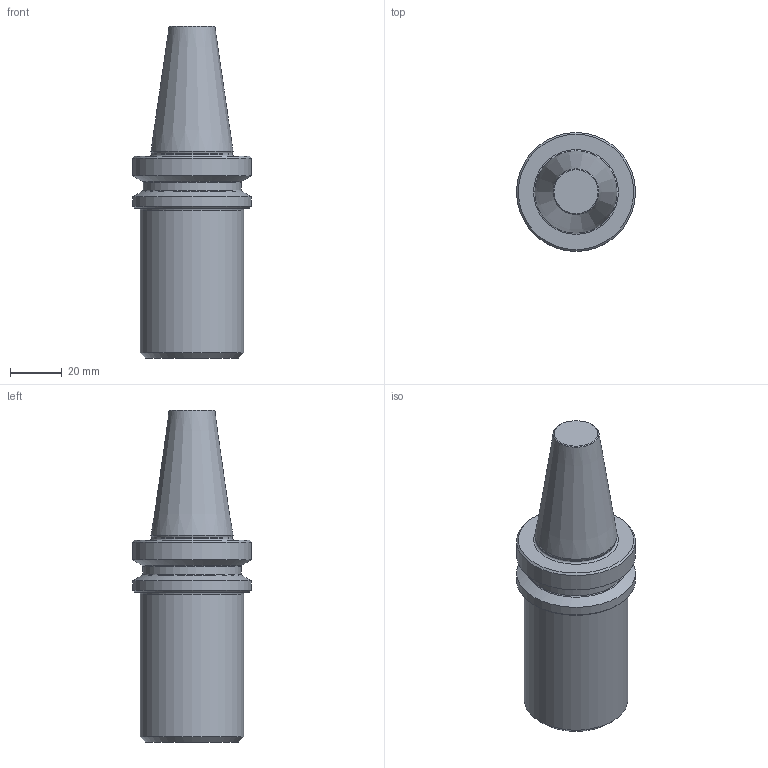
import cadquery as cq
import math

gauge_radius = 31.75 / 2
taper_length = 48.4
taper_ratio = 7 / 24
tip_radius = gauge_radius - taper_length * taper_ratio / 2
tip_chamfer = 0.3

neck_radius = 15.6
neck_undercut_height = 0.9
neck_fillet = 0.8

flange_radius = 46 / 2
flange_top = -2.0
flange_bottom = -22.0
flange_chamfer = 0.7
groove_center = -13.6
groove_mouth_width = 8.2
groove_floor_radius = 19.0
groove_fillet = 0.5
groove_half_angle = math.radians(30)
groove_depth = flange_radius - groove_floor_radius
groove_floor_width = groove_mouth_width - 2 * groove_depth * math.tan(groove_half_angle)

body_radius = 20.0
body_bottom = -80.0
body_chamfer = 2.0
body_fillet = 0.8


def revolve_profile(profile):
    """Close a half profile in the XZ plane and revolve it about the Z axis."""
    return profile.close().revolve(360, (0, 0, 0), (0, 1, 0))


def make_taper_and_neck():
    """Edge-broken cone above the gauge plane, undercut neck with a fillet at the flange face."""
    fillet_top = flange_top + neck_fillet
    fillet_mid_offset = neck_fillet * (1 - math.sqrt(0.5))
    profile = (
        cq.Workplane("XZ")
        .moveTo(0, taper_length)
        .lineTo(tip_radius, taper_length)
        .lineTo(gauge_radius, 0)
        .lineTo(neck_radius, -neck_undercut_height)
        .lineTo(neck_radius, fillet_top)
        .threePointArc(
            (neck_radius + fillet_mid_offset, flange_top + fillet_mid_offset),
            (neck_radius + neck_fillet, flange_top),
        )
        .lineTo(0, flange_top)
    )
    return revolve_profile(profile).faces(">Z").edges().chamfer(tip_chamfer)


def make_flange():
    """Chamfered disc with the gripper groove turned into its rim."""
    disc = (
        cq.Workplane("XY", origin=(0, 0, flange_bottom))
        .circle(flange_radius)
        .extrude(flange_top - flange_bottom)
        .edges("%CIRCLE")
        .chamfer(flange_chamfer)
    )
    groove = revolve_profile(
        cq.Workplane("XZ")
        .moveTo(flange_radius, groove_center + groove_mouth_width / 2)
        .lineTo(groove_floor_radius, groove_center + groove_floor_width / 2)
        .lineTo(groove_floor_radius, groove_center - groove_floor_width / 2)
        .lineTo(flange_radius, groove_center - groove_mouth_width / 2)
    )
    floor_corners = cq.selectors.RadiusNthSelector(0)
    groove = groove.edges(floor_corners).fillet(groove_fillet)
    return disc.cut(groove)


def make_body():
    """Cylinder filleted into the flange and chamfered at its lower end."""
    fillet_mid_offset = body_fillet * (1 - math.sqrt(0.5))
    profile = (
        cq.Workplane("XZ")
        .moveTo(0, flange_bottom)
        .lineTo(body_radius + body_fillet, flange_bottom)
        .threePointArc(
            (body_radius + fillet_mid_offset, flange_bottom - fillet_mid_offset),
            (body_radius, flange_bottom - body_fillet),
        )
        .lineTo(body_radius, body_bottom + body_chamfer)
        .lineTo(body_radius - body_chamfer, body_bottom)
        .lineTo(0, body_bottom)
    )
    return revolve_profile(profile)


result = make_taper_and_neck().union(make_flange()).union(make_body())